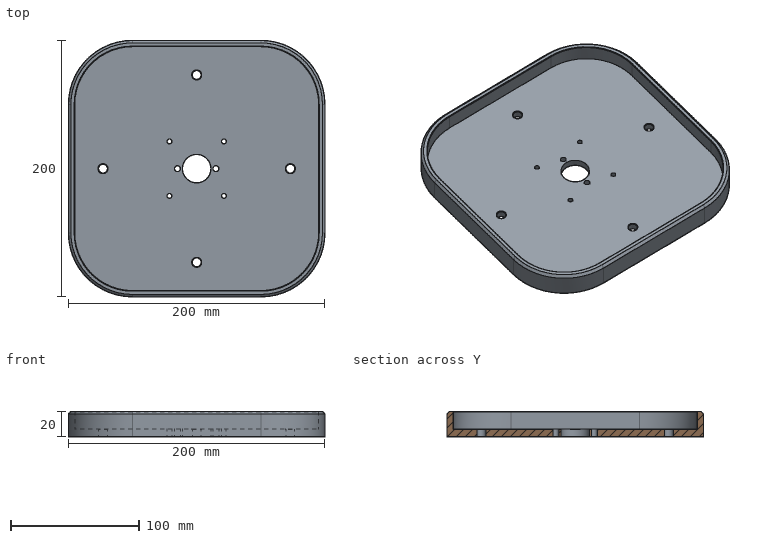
import cadquery as cq

side = 200.0
height = 20.0
corner_radius = 50.0
wall = 5.0
floor_thickness = 6.2
rim_chamfer = 2.0
inner_rim_chamfer = 0.5

center_hole_diameter = 22.0
pair_hole_diameter = 4.5
pair_hole_offset = 15.0
square_hole_diameter = 3.5
square_hole_count = 4
square_hole_circle_diameter = 60.0
mount_hole_diameter = 6.8
mount_hole_count = 4
mount_hole_offset = 73.0
mount_hole_chamfer = 0.5


def rounded_block(width, radius, bottom, top):
    """Square block with rounded vertical corners between two heights."""
    block = cq.Workplane("XY").workplane(offset=bottom).rect(width, width).extrude(top - bottom)
    return block.edges("|Z").fillet(radius)


def floor_holes(diameter, radius, count, start_angle=0):
    """Cylinders through the floor, evenly spaced on a circle."""
    pattern = cq.Workplane("XY").polarArray(radius, start_angle, 360, count)
    return pattern.circle(diameter / 2).extrude(floor_thickness)


def mount_hole_countersinks():
    """Cones that bevel the upper edges of the mounting holes."""
    mouth_radius = mount_hole_diameter / 2 + mount_hole_chamfer
    cone = cq.Solid.makeCone(mount_hole_diameter / 2, mouth_radius, mount_hole_chamfer)
    pattern = cq.Workplane("XY").workplane(offset=floor_thickness - mount_hole_chamfer)
    return pattern.polarArray(mount_hole_offset, 0, 360, mount_hole_count).eachpoint(cone, combine=False)


outer = rounded_block(side, corner_radius, 0, height).faces(">Z").edges().chamfer(rim_chamfer)
cavity = rounded_block(side - 2 * wall, corner_radius - wall, floor_thickness, height)
tray = outer.cut(cavity)
rim_opening = tray.faces(">Z").val().innerWires()[0]
tray = tray.newObject(rim_opening.Edges()).chamfer(inner_rim_chamfer)

tray = tray.cut(cq.Workplane("XY").circle(center_hole_diameter / 2).extrude(floor_thickness))
tray = tray.cut(floor_holes(pair_hole_diameter, pair_hole_offset, 2))
tray = tray.cut(floor_holes(square_hole_diameter, square_hole_circle_diameter / 2, square_hole_count, start_angle=45))
tray = tray.cut(floor_holes(mount_hole_diameter, mount_hole_offset, mount_hole_count))
result = tray.cut(mount_hole_countersinks())